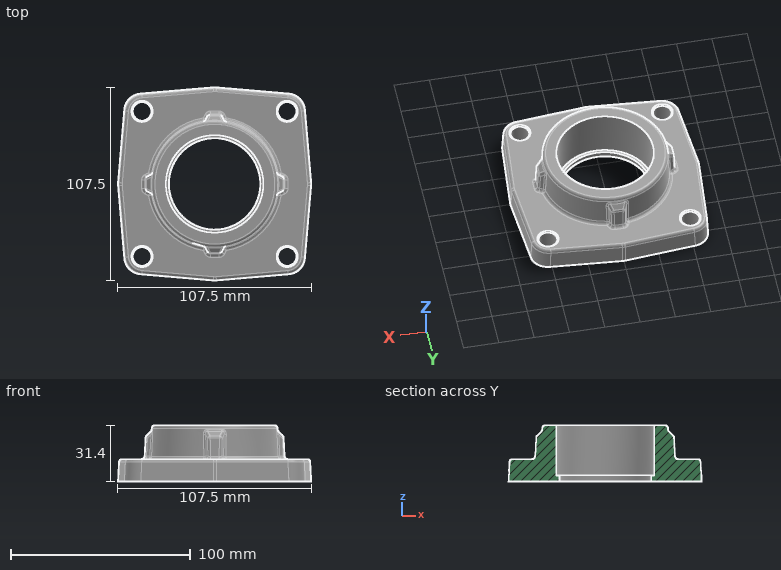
import cadquery as cq
import math

overall_width = 107.5
total_height = 31.4

edge_radius = 1.7

flange_height = 12.6
flange_draft = 3.0
side_angle = 4.9
corner_radius = 10.0

bolt_offset = 40.3
bolt_hole_radius = 5.2
bolt_rim_width = 0.8
bolt_rim_angle = 45.0

hub_top_radius = 34.9
hub_draft = 2.5

bore_radius = 27.1
lip_radius = 25.4
lip_height = 3.5

rib_count = 4
rib_reach = 39.0
rib_half_width = 3.3
rib_flank_angle = 27.0
rib_top_angle = 45.0
rib_edge_height = 25.0
rib_draft_angle = 3.0
rib_root_radius = 33.3

rib_face_radius = 37.6
rib_zone_radius = 43.0
match_tolerance = 0.01


def tan_degrees(angle):
    """Tangent of an angle given in degrees."""
    return math.tan(math.radians(angle))


def make_flange():
    """Drafted eight-sided plate with rounded corners and top edge."""
    blunting = corner_radius * (1 / math.cos(math.radians(side_angle)) - 1)
    apex = overall_width / 2 + blunting
    corner = apex / (1 + tan_degrees(side_angle))
    outline = [
        (apex, 0),
        (corner, corner),
        (0, apex),
        (-corner, corner),
        (-apex, 0),
        (-corner, -corner),
        (0, -apex),
        (corner, -corner),
    ]
    plate = cq.Workplane("XY").polyline(outline).close().extrude(flange_height, taper=flange_draft)
    plate = plate.edges("not(#Z)").fillet(corner_radius)
    return plate.faces(">Z").edges().fillet(edge_radius)


def hub_radius_at(height):
    """Radius of the drafted hub at a height above the underside."""
    return hub_top_radius + (total_height - height) * tan_degrees(hub_draft)


def make_hub():
    """Drafted solid round hub from the underside up, with its seam between two ribs."""
    hub = cq.Workplane("XY").circle(hub_radius_at(0)).extrude(total_height, taper=hub_draft)
    return hub.rotate((0, 0, 0), (0, 0, 1), 180 / rib_count)


def make_rib():
    """Rib along +X with slanted flanks, a drafted face and a sloped top."""
    root_half_width = rib_half_width + (rib_reach - rib_root_radius) * tan_degrees(rib_flank_angle)
    plan = [
        (rib_root_radius, -root_half_width),
        (rib_reach, -rib_half_width),
        (rib_reach, rib_half_width),
        (rib_root_radius, root_half_width),
    ]
    body = cq.Workplane("XY").polyline(plan).close().extrude(total_height)
    lean = tan_degrees(rib_draft_angle)
    top_reach = rib_reach - (rib_edge_height - flange_height) * lean
    bottom_reach = rib_reach + flange_height * lean
    root_height = rib_edge_height + (top_reach - rib_root_radius) * tan_degrees(rib_top_angle)
    profile = [
        (rib_root_radius, 0),
        (bottom_reach, 0),
        (top_reach, rib_edge_height),
        (rib_root_radius, root_height),
    ]
    side = cq.Workplane("XZ").polyline(profile).close().extrude(root_half_width, both=True)
    return body.intersect(side)


def distance_from_axis(point):
    """Distance of a point from the bore axis."""
    return math.hypot(point.x, point.y)


def is_root_edge(edge):
    """True for inside edges: where hub or rib meets the flange, or a rib meets the hub."""
    ends = [edge.startPoint(), edge.endPoint()]
    if any(p.z > total_height - match_tolerance or distance_from_axis(p) > rib_zone_radius for p in ends):
        return False
    at_foot = all(abs(p.z - flange_height) < match_tolerance for p in ends)
    on_hub = all(abs(distance_from_axis(p) - hub_radius_at(p.z)) < match_tolerance for p in ends)
    return at_foot or on_hub


def is_rib_edge(edge):
    """True for the outside edges of a rib, which all reach its outer face above the flange."""
    ends = [edge.startPoint(), edge.endPoint()]
    return any(p.z > flange_height + match_tolerance and distance_from_axis(p) > rib_face_radius for p in ends)


def cut_bore(body):
    """Through bore that narrows to a lip at the underside."""
    lip_hole = cq.Workplane("XY").circle(lip_radius).extrude(total_height)
    wide_bore = cq.Workplane("XY").workplane(offset=lip_height).circle(bore_radius).extrude(total_height)
    return body.cut(lip_hole).cut(wide_bore)


def cut_bolt_holes(body):
    """Four through holes in the corners, each with a chamfered upper rim."""
    rim_radius = bolt_hole_radius + bolt_rim_width
    spacing = 2 * bolt_offset
    holes = cq.Workplane("XY").rect(spacing, spacing, forConstruction=True).vertices()
    body = body.cut(holes.circle(bolt_hole_radius).extrude(flange_height))
    flange_top = cq.Workplane("XY").workplane(offset=flange_height)
    rims = flange_top.rect(spacing, spacing, forConstruction=True).vertices().circle(rim_radius)
    return body.cut(rims.extrude(-bolt_rim_width, taper=bolt_rim_angle))


body = make_flange().union(make_hub())
for i in range(rib_count):
    body = body.union(make_rib().rotate((0, 0, 0), (0, 0, 1), i * 360 / rib_count))

soft_edges = [edge for edge in body.edges().vals() if is_root_edge(edge) or is_rib_edge(edge)]
body = body.newObject(soft_edges).fillet(edge_radius)
body = body.faces(">Z").edges().fillet(edge_radius)
result = cut_bolt_holes(cut_bore(body)).solids()